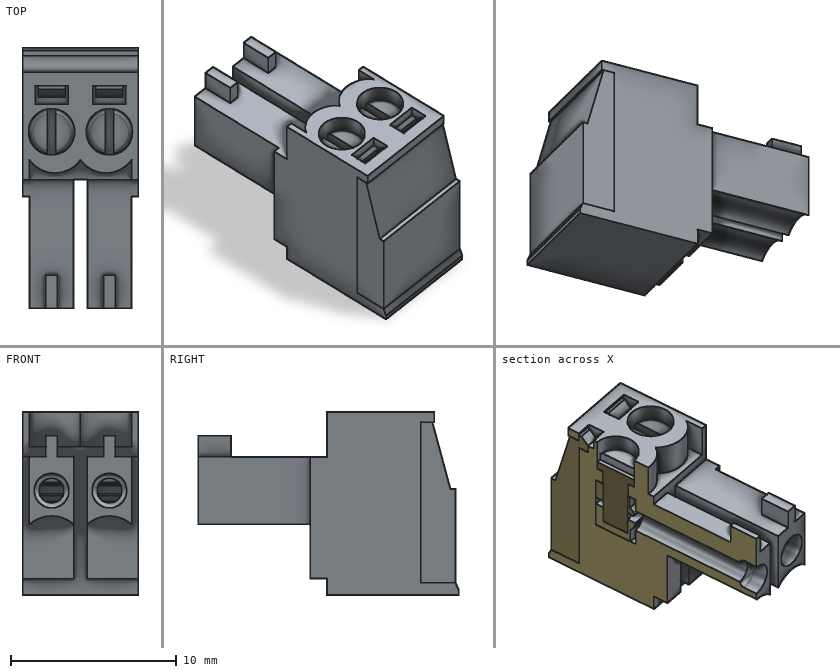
import cadquery as cq
import math


PITCH = 3.5
POLES = [-PITCH / 2, PITCH / 2]

WIDTH = 7.0
LENGTH = 15.8
HEIGHT = 11.1
FRONT_Y = 7.8
TOP_REAR_Y = 14.31
BASE_BEVEL_Y = 15.6
BASE_BEVEL_Z = 0.3
BASE_TOP = 0.75

PLUG_GAP = 0.82
PLUG_WIDTH = PITCH - PLUG_GAP
PLUG_TOP = 8.38
PLUG_BOTTOM = 4.28
PLUG_GROOVE_TOP = 4.8
SHOULDER_FRONT_Y = 6.78
SHOULDER_BOTTOM = 1.0
KEY_WIDTH = 0.7
KEY_LENGTH = 2.0
KEY_TOP = 9.66

SOCKET_Z = 6.33
SOCKET_DIAMETER = 2.1
SOCKET_FILLET = 0.3
SOCKET_DEPTH = 1.26
BORE_DIAMETER = SOCKET_DIAMETER - 2 * SOCKET_FILLET

RECESS_WIDTH = PITCH + PLUG_WIDTH
RECESS_FLOOR = 9.0
SCALLOP_RADIUS = 1.9
SCALLOP_FRONT_Y = 8.2

SCREW_Y = 10.7
HEAD_DIAMETER = 2.8
HEAD_TOP = 10.15
HEAD_BOTTOM = 9.0
HEAD_FILLET = 0.25
DRIVE_WIDTH = 0.5
DRIVE_DEPTH = 0.6
SHANK_DIAMETER = 1.9
SHANK_END = 5.0

CHAMBER_WIDTH = 2.3
CHAMBER_FRONT_Y = 9.2
CHAMBER_REAR_Y = 12.2
CHAMBER_BOTTOM = 4.5
CHAMBER_TOP = 8.0

NOSE_Z = 6.83
NOSE_UPPER_TILT = 49
NOSE_LOWER_TILT = 40
CONTACT_BOTTOM = 6.62
CONTACT_FACE_Y = 9.6

CLAMP_TOP = 6.15
CLAMP_FACE_BOTTOM = 6.02
UNDERCUT_BREAK_Z = 5.73
UNDERCUT_TILT = 21
FOOT_TILT = 37
FOOT_Z = 5.4

COVER_FRONT_Y = 13.48
COVER_TOP = 10.46
COVER_REAR_Y = BASE_BEVEL_Y
COVER_STEP_Z = 6.43
COVER_STEP_Y = 15.29
COVER_TOP_REAR_Y = 14.2
HOOK_WIDTH = 1.64
HOOK_TOP = 10.96
HOOK_FLAT = 0.19
HOOK_ROOT_HEIGHT = 0.5
HOOK_FRONT_Y = COVER_FRONT_Y - HOOK_FLAT - (HOOK_TOP - COVER_TOP)
HOOK_ROOT_Z = COVER_TOP - HOOK_ROOT_HEIGHT
LATCH_SLOT_WIDTH = 2.0
LATCH_SLOT_LENGTH = 1.1


def box(x_range, y_range, z_range):
    """Box between the given limits along each axis."""
    (x0, x1), (y0, y1), (z0, z1) = x_range, y_range, z_range
    return cq.Workplane("XY").box(x1 - x0, y1 - y0, z1 - z0, centered=False).translate((x0, y0, z0))


def span(centre, size):
    """Limits of a length placed about its middle."""
    return centre - size / 2, centre + size / 2


def prism(outline, x_centre, width):
    """Extrude a (Y, Z) outline along X, placed about x_centre."""
    solid = cq.Workplane("YZ").polyline(outline).close().extrude(width / 2, both=True)
    return solid.translate((x_centre, 0, 0))


def upright_cylinder(x, y, diameter, z_bottom, z_top):
    return cq.Workplane("XY", origin=(x, y, z_bottom)).circle(diameter / 2).extrude(z_top - z_bottom)


def setback(height, tilt):
    """Distance a face leans back over a height."""
    return height * math.tan(math.radians(tilt))



def housing_shell():
    outline = [
        (FRONT_Y, 0),
        (LENGTH, 0),
        (LENGTH, BASE_BEVEL_Z),
        (BASE_BEVEL_Y, BASE_TOP),
        (COVER_FRONT_Y, BASE_TOP),
        (COVER_FRONT_Y, COVER_TOP),
        (TOP_REAR_Y, COVER_TOP),
        (TOP_REAR_Y, HEIGHT),
        (FRONT_Y, HEIGHT),
    ]
    return prism(outline, 0, WIDTH)


def shoulders():
    block = box(span(0, WIDTH), (SHOULDER_FRONT_Y, FRONT_Y), (SHOULDER_BOTTOM, PLUG_TOP))
    gap = box(span(0, PLUG_GAP), (SHOULDER_FRONT_Y, FRONT_Y), (SHOULDER_BOTTOM, PLUG_TOP))
    return block.cut(gap)


def plug(x):
    left, right = span(x, PLUG_WIDTH)
    body = (
        cq.Workplane("XZ")
        .moveTo(left, PLUG_BOTTOM)
        .threePointArc((x, PLUG_GROOVE_TOP), (right, PLUG_BOTTOM))
        .lineTo(right, PLUG_TOP)
        .lineTo(left, PLUG_TOP)
        .close()
        .extrude(-FRONT_Y)
    )
    key = box(span(x, KEY_WIDTH), (0, KEY_LENGTH), (PLUG_TOP, KEY_TOP))
    return body.union(key)


def socket_cutter(x):
    """Round-bottomed pin socket followed by the narrower bore into the chamber."""
    bore = (
        cq.Workplane("XZ", origin=(x, 0, SOCKET_Z))
        .circle(BORE_DIAMETER / 2)
        .extrude(-CHAMBER_FRONT_Y)
    )
    bore_radius = BORE_DIAMETER / 2
    fillet_start = SOCKET_DEPTH - SOCKET_FILLET
    diagonal = SOCKET_FILLET * math.sqrt(0.5)
    socket = (
        cq.Workplane("XY")
        .moveTo(0, 0)
        .lineTo(SOCKET_DIAMETER / 2, 0)
        .lineTo(SOCKET_DIAMETER / 2, fillet_start)
        .threePointArc((bore_radius + diagonal, fillet_start + diagonal), (bore_radius, SOCKET_DEPTH))
        .lineTo(0, SOCKET_DEPTH)
        .close()
        .revolve(360, (0, 0), (0, 1))
        .translate((x, 0, SOCKET_Z))
    )
    return socket.union(bore)


def scalloped_recess():
    """Pocket in the top front edge, bounded behind by one round boss per pole."""
    scallop_y = SCALLOP_FRONT_Y + SCALLOP_RADIUS
    scallop_spacing = RECESS_WIDTH / len(POLES)
    recess = box(span(0, RECESS_WIDTH), (FRONT_Y, scallop_y), (RECESS_FLOOR, HEIGHT))
    for x in span(0, scallop_spacing):
        recess = recess.cut(upright_cylinder(x, scallop_y, 2 * SCALLOP_RADIUS, RECESS_FLOOR, HEIGHT))
    return recess


def pole_cavities(x):
    """Screw hole, chamber and latch openings of one pole."""
    head_hole = upright_cylinder(x, SCREW_Y, HEAD_DIAMETER, HEAD_BOTTOM, HEIGHT)
    shank_hole = upright_cylinder(x, SCREW_Y, SHANK_DIAMETER, CHAMBER_TOP, HEAD_BOTTOM)
    chamber = box(
        span(x, CHAMBER_WIDTH), (CHAMBER_FRONT_Y, CHAMBER_REAR_Y), (CHAMBER_BOTTOM, CHAMBER_TOP)
    )
    latch_slot = box(
        span(x, LATCH_SLOT_WIDTH),
        (COVER_FRONT_Y - LATCH_SLOT_LENGTH, COVER_FRONT_Y),
        (COVER_TOP, HEIGHT),
    )
    hook_root = box(span(x, HOOK_WIDTH), (HOOK_FRONT_Y, COVER_FRONT_Y), (HOOK_ROOT_Z, COVER_TOP))
    return head_hole.union(shank_hole).union(chamber).union(latch_slot).union(hook_root)


def make_housing():
    body = housing_shell().union(shoulders())
    for x in POLES:
        body = body.union(plug(x))
    body = body.cut(scalloped_recess())
    for x in POLES:
        body = body.cut(socket_cutter(x)).cut(pole_cavities(x))
    return body



def make_cover():
    outline = [
        (COVER_FRONT_Y, BASE_TOP),
        (COVER_REAR_Y, BASE_TOP),
        (COVER_REAR_Y, COVER_STEP_Z),
        (COVER_STEP_Y, COVER_STEP_Z),
        (COVER_TOP_REAR_Y, COVER_TOP),
        (COVER_FRONT_Y, COVER_TOP),
    ]
    hook_outline = [
        (COVER_FRONT_Y, HOOK_ROOT_Z),
        (HOOK_FRONT_Y, HOOK_ROOT_Z),
        (HOOK_FRONT_Y, COVER_TOP),
        (COVER_FRONT_Y - HOOK_FLAT, HOOK_TOP),
        (COVER_FRONT_Y, HOOK_TOP),
    ]
    body = prism(outline, 0, WIDTH)
    for x in POLES:
        body = body.union(prism(hook_outline, x, HOOK_WIDTH))
    return body



def make_screw(x):
    head = upright_cylinder(x, SCREW_Y, HEAD_DIAMETER, HEAD_BOTTOM, HEAD_TOP)
    head = head.faces(">Z").edges().fillet(HEAD_FILLET)
    drive_slot = box(
        span(x, DRIVE_WIDTH), span(SCREW_Y, HEAD_DIAMETER), (HEAD_TOP - DRIVE_DEPTH, HEAD_TOP)
    )
    shank = upright_cylinder(x, SCREW_Y, SHANK_DIAMETER, SHANK_END, HEAD_BOTTOM)
    return head.cut(drive_slot).union(shank)



def shank_clearance(x):
    """Bore for the screw shank through the contact and into the clamp."""
    return upright_cylinder(x, SCREW_Y, SHANK_DIAMETER, SHANK_END, HEAD_BOTTOM)


def make_contact(x):
    """Bar around the screw shank, its front edge drawn to a nose."""
    slope_height = (CONTACT_FACE_Y - CHAMBER_FRONT_Y) / math.tan(math.radians(NOSE_UPPER_TILT))
    outline = [
        (CHAMBER_FRONT_Y, NOSE_Z),
        (CONTACT_FACE_Y, NOSE_Z + slope_height),
        (CONTACT_FACE_Y, CHAMBER_TOP),
        (CHAMBER_REAR_Y, CHAMBER_TOP),
        (CHAMBER_REAR_Y, CONTACT_BOTTOM),
        (CHAMBER_FRONT_Y + setback(NOSE_Z - CONTACT_BOTTOM, NOSE_LOWER_TILT), CONTACT_BOTTOM),
    ]
    return prism(outline, x, CHAMBER_WIDTH).cut(shank_clearance(x))


def make_clamp(x):
    """Block on the chamber floor that takes the end of the screw shank."""
    break_y = CHAMBER_FRONT_Y + setback(CLAMP_FACE_BOTTOM - UNDERCUT_BREAK_Z, UNDERCUT_TILT)
    foot_y = break_y + setback(UNDERCUT_BREAK_Z - FOOT_Z, FOOT_TILT)
    outline = [
        (CHAMBER_REAR_Y, CHAMBER_BOTTOM),
        (CHAMBER_REAR_Y, CLAMP_TOP),
        (CHAMBER_FRONT_Y, CLAMP_TOP),
        (CHAMBER_FRONT_Y, CLAMP_FACE_BOTTOM),
        (break_y, UNDERCUT_BREAK_Z),
        (foot_y, FOOT_Z),
        (foot_y, CHAMBER_BOTTOM),
    ]
    return prism(outline, x, CHAMBER_WIDTH).cut(shank_clearance(x))


housing = make_housing()
cover = make_cover()
screws = [make_screw(x) for x in POLES]
contacts = [make_contact(x) for x in POLES]
clamps = [make_clamp(x) for x in POLES]

bodies = [housing, cover, *screws, *contacts, *clamps]
result = cq.Compound.makeCompound([solid for body in bodies for solid in body.vals()])